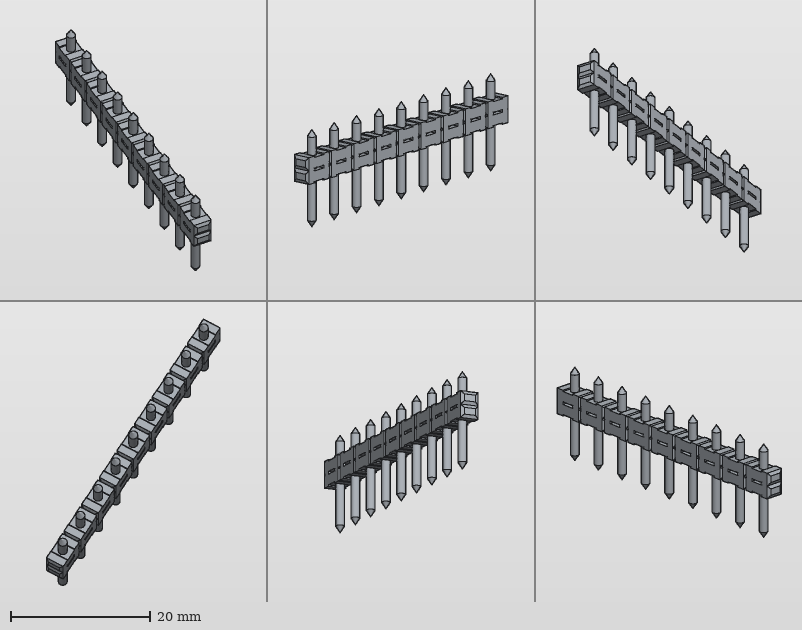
import cadquery as cq

PIN_COUNT = 9
PITCH = 5.0

HOUSING_LENGTH = 4.5
HOUSING_DEPTH = 2.8
HOUSING_HEIGHT = 4.0

BOSSES_PER_END = 2
BOSS_HEIGHT = HOUSING_HEIGHT / BOSSES_PER_END
BOSS_REACH = (PITCH - HOUSING_LENGTH) / 2
BOSS_INSET = 0.5

CHANNEL_WIDTH = 2.0
CHANNEL_DEPTH = 0.2

WINDOW_WIDTH = 2.0
WINDOW_HEIGHT = 0.4

PIN_RADIUS = 1.3 / 2
PIN_ABOVE = 3.5
PIN_BELOW = 7.0
POINT_LENGTH = 1.0


def make_boss(side, z_middle):
    """Four-sided tapered boss on the end of a housing; side is -1 for -X, +1 for +X."""
    base_plane = cq.Plane(
        origin=(side * HOUSING_LENGTH / 2, 0, z_middle),
        xDir=(0, 1, 0),
        normal=(side, 0, 0),
    )
    return (
        cq.Workplane(base_plane)
        .rect(HOUSING_DEPTH, BOSS_HEIGHT)
        .workplane(offset=BOSS_REACH)
        .rect(HOUSING_DEPTH - 2 * BOSS_INSET, BOSS_HEIGHT - 2 * BOSS_INSET)
        .loft(ruled=True)
    )


def make_housing():
    """One housing with its channels, window and end bosses."""
    middle = (0, 0, HOUSING_HEIGHT / 2)
    housing = cq.Workplane("XY").box(HOUSING_LENGTH, HOUSING_DEPTH, HOUSING_HEIGHT).translate(middle)
    channel = cq.Workplane("XY").box(CHANNEL_WIDTH, HOUSING_DEPTH, 2 * CHANNEL_DEPTH)
    window = cq.Workplane("XY").box(WINDOW_WIDTH, HOUSING_DEPTH, WINDOW_HEIGHT).translate(middle)
    housing = housing.cut(channel)
    housing = housing.cut(channel.translate((0, 0, HOUSING_HEIGHT)))
    housing = housing.cut(window)
    for side in (-1, 1):
        for level in range(BOSSES_PER_END):
            housing = housing.union(make_boss(side, (level + 0.5) * BOSS_HEIGHT))
    return housing


def make_pin():
    """Round pin turned about the Z axis, with a cone at each end."""
    top = HOUSING_HEIGHT + PIN_ABOVE
    bottom = -PIN_BELOW
    return (
        cq.Workplane("XZ")
        .moveTo(0, bottom)
        .lineTo(PIN_RADIUS, bottom + POINT_LENGTH)
        .lineTo(PIN_RADIUS, top - POINT_LENGTH)
        .lineTo(0, top)
        .close()
        .revolve(360, (0, 0, 0), (0, 1, 0))
    )


def make_header():
    """The full row, centred on X = 0."""
    position = make_housing().union(make_pin())
    first_x = -PITCH * (PIN_COUNT - 1) / 2
    header = position.translate((first_x, 0, 0))
    for index in range(1, PIN_COUNT):
        header = header.union(position.translate((first_x + index * PITCH, 0, 0)))
    return header


result = make_header()